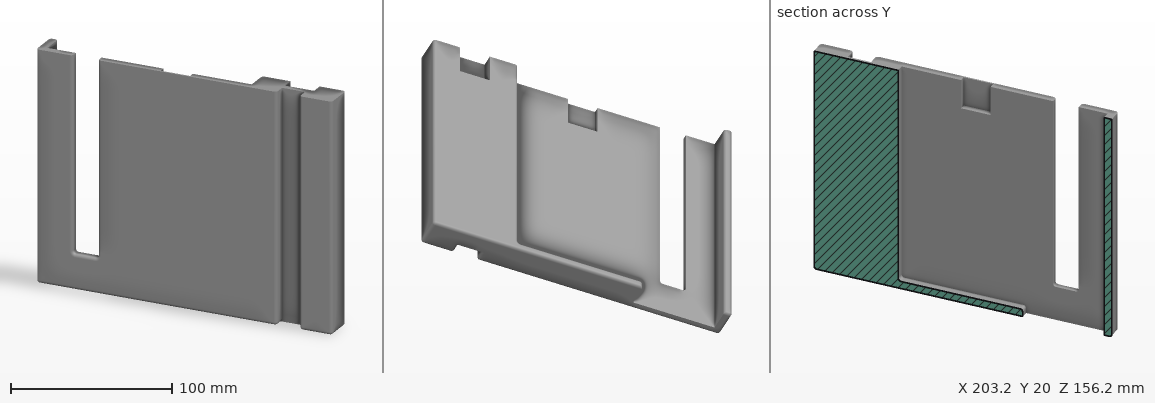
import cadquery as cq

length = 203.15
depth = 20.0
height = 156.25

floor_thickness = 5.0
wall_thickness = 5.4
edge_radius = 2.0

block_left = 145.7
ledge_left = 60.8
ledge_height = wall_thickness

slot_left = 25.0
slot_width = 17.5
slot_bottom = 23.6
slot_corner_radius = 2.0

groove_left = 165.2
groove_width = 15.7
groove_right = groove_left + groove_width
groove_depth = 7.9

recess_size = 20.2
block_recess_left = 165.0
block_recess_depth = 8.0
floor_recess_left = 85.0
floor_recess_depth = 3.9

position_tolerance = 1e-3


def box_at(x, y, z, size_x, size_y, size_z):
    """Box with its lowest corner at (x, y, z)."""
    return cq.Workplane("XY").box(size_x, size_y, size_z, centered=False).translate((x, y, z))


def make_body():
    """Floor with a left wall, a solid right block and a low ledge along the bottom."""
    body = box_at(0, 0, 0, length, floor_thickness, height)
    left_wall = box_at(0, 0, 0, wall_thickness, depth, height)
    block = box_at(block_left, 0, 0, length - block_left, depth, height)
    ledge = box_at(ledge_left, 0, 0, block_left - ledge_left, depth, ledge_height)
    return body.union(left_wall).union(block).union(ledge).clean()


def make_slot():
    """Slot cutter with rounded lower corners."""
    slot = box_at(slot_left, 0, slot_bottom, slot_width, floor_thickness, height - slot_bottom)
    return slot.edges("|Y and <Z").fillet(slot_corner_radius)


def make_groove():
    """Full-height groove cutter, open to the front."""
    return box_at(groove_left, 0, 0, groove_width, groove_depth, height)


def make_recess(left, rear, recess_depth):
    """Square recess cut forward from the plane y = rear, starting at the top."""
    return box_at(left, rear - recess_depth, height - recess_size, recess_size, recess_depth, recess_size)


def is_rounded(edge):
    """True for the front and rear rims, the bottom edges of the ends and groove, and the ledge top."""
    box = edge.BoundingBox()

    def lies_at(low, high, position):
        return max(abs(low - position), abs(high - position)) < position_tolerance

    if lies_at(box.zmin, box.zmax, height):
        return False
    on_front = lies_at(box.ymin, box.ymax, 0)
    on_rear = lies_at(box.ymin, box.ymax, depth)
    on_bottom = lies_at(box.zmin, box.zmax, 0)
    on_end = lies_at(box.xmin, box.xmax, 0) or lies_at(box.xmin, box.xmax, length)
    on_groove_side = lies_at(box.xmin, box.xmax, groove_left) or lies_at(box.xmin, box.xmax, groove_right)
    on_ledge_top = lies_at(box.zmin, box.zmax, ledge_height)
    on_ledge_end = lies_at(box.xmin, box.xmax, ledge_left) or lies_at(box.xmin, box.xmax, block_left)
    return on_front or on_rear or (on_bottom and (on_end or on_groove_side)) or (on_ledge_top and on_ledge_end)


def round_edges(body):
    """Fillet the outer rims with one common radius."""
    edges = [edge for edge in body.edges().vals() if is_rounded(edge)]
    return body.newObject(edges).fillet(edge_radius)


result = make_body().cut(make_slot()).cut(make_groove())
result = round_edges(result)
result = result.cut(make_recess(block_recess_left, depth, block_recess_depth))
result = result.cut(make_recess(floor_recess_left, floor_thickness, floor_recess_depth))